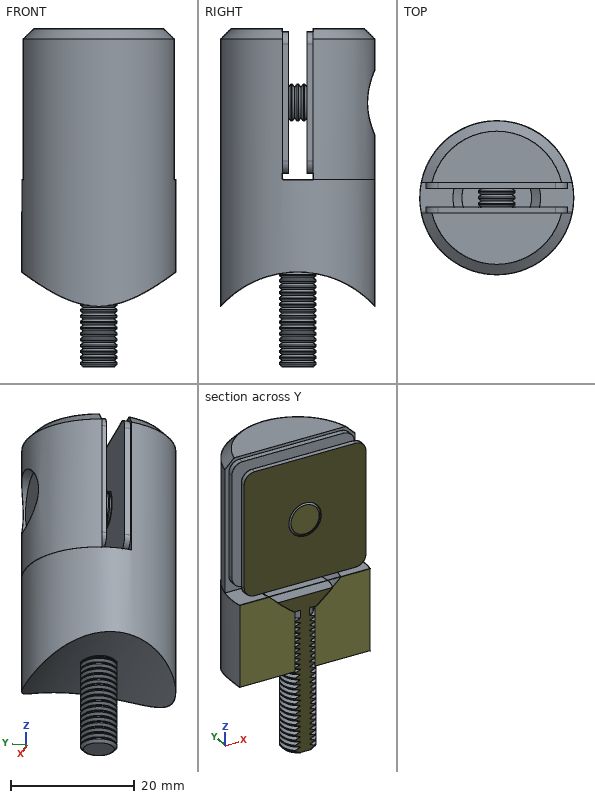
import cadquery as cq
import math

POST_RADIUS = 12.5
POST_HEIGHT = 39.5
TOP_CHAMFER = 1.7
SADDLE_RADIUS = 16.85
SADDLE_DROP = SADDLE_RADIUS - math.sqrt(SADDLE_RADIUS**2 - POST_RADIUS**2)

SLOT_HALF_WIDTH = 2.5
SLOT_FLOOR_Z = 15.0
SLOT_CORNER_RADIUS = 0.3

PAD_SIZE = 23.0
PAD_THICKNESS = 1.0
PAD_CORNER_RADIUS = 2.0
CLAMP_DEPTH = 12.0
CLAMP_Z = POST_HEIGHT - CLAMP_DEPTH

THREAD_RADIUS = 3.0
ROOT_RADIUS = 2.52
CREST_WIDTH = 0.2

CLAMP_PITCH = 1.0
CLAMP_FIRST_RIDGE = 0.5
CLAMP_TIP_Y = -8.5
CLAMP_HEAD_RADIUS = 5.0
CLAMP_HEAD_HEIGHT = 6.0
CLAMP_SEAT_Y = 5.0
CLAMP_ROD_LENGTH = CLAMP_SEAT_Y - CLAMP_TIP_Y
CLAMP_RIDGES = math.floor((CLAMP_ROD_LENGTH - CLAMP_FIRST_RIDGE) / CLAMP_PITCH)
COUNTERBORE_RADIUS = 5.25

BASE_SCREW_REACH = 15.38
BASE_PITCH = 0.956
BASE_FIRST_RIDGE = 0.59
COUNTERSINK_RADIUS = 7.1
BASE_HEAD_RADIUS = 5.65
BASE_HEAD_TOP_Z = SLOT_FLOOR_Z - (COUNTERSINK_RADIUS - BASE_HEAD_RADIUS)
BASE_ROD_LENGTH = BASE_SCREW_REACH + BASE_HEAD_TOP_Z - (BASE_HEAD_RADIUS - THREAD_RADIUS)
BASE_RIDGES = math.floor((BASE_ROD_LENGTH - BASE_FIRST_RIDGE) / BASE_PITCH)


def ridged_rod(length, pitch, first_ridge, ridge_count):
    """Rod rising from Z = 0, tapered at that tip, with V grooves between flat-crested ridges."""
    profile = [(0, 0), (ROOT_RADIUS, 0)]
    for index in range(ridge_count):
        ridge_z = first_ridge + index * pitch
        profile.append((THREAD_RADIUS, ridge_z - CREST_WIDTH / 2))
        profile.append((THREAD_RADIUS, ridge_z + CREST_WIDTH / 2))
        profile.append((ROOT_RADIUS, ridge_z + pitch / 2))
    profile.append((ROOT_RADIUS, length))
    profile.append((0, length))
    return cq.Workplane("XZ").polyline(profile).close().revolve(360, (0, 0), (0, 1))


def rod_along_y(radius, start_y, end_y):
    """Cylinder on the clamp axis between two Y positions."""
    rod = cq.Workplane("XZ", origin=(0, start_y, CLAMP_Z)).circle(radius)
    return rod.extrude(start_y - end_y)


def slab(min_y, max_y, min_z, max_z):
    """Block wider than the post between the given Y and Z limits."""
    block = cq.Workplane("XY").box(4 * POST_RADIUS, max_y - min_y, max_z - min_z)
    return block.translate((0, (min_y + max_y) / 2, (min_z + max_z) / 2))


def make_post():
    """Round post, chamfered on top and hollowed below by the tube it sits on."""
    post = cq.Workplane("XY", origin=(0, 0, -SADDLE_DROP)).circle(POST_RADIUS)
    post = post.extrude(SADDLE_DROP + POST_HEIGHT).faces(">Z").chamfer(TOP_CHAMFER)
    tube = cq.Workplane("YZ", origin=(0, 0, -SADDLE_RADIUS)).circle(SADDLE_RADIUS)
    return post.cut(tube.extrude(2 * POST_RADIUS, both=True))


def screw_cone(top_radius, top_z):
    """90 degree cone narrowing downward from top_z to the thread radius."""
    depth = top_radius - THREAD_RADIUS
    cone = cq.Solid.makeCone(THREAD_RADIUS, top_radius, depth)
    return cq.Workplane(cone.translate(cq.Vector(0, 0, top_z - depth)))


def make_housing():
    """Post with the slot and jaw space cut away, leaving a ledge at the slot floor."""
    opening = slab(-SLOT_HALF_WIDTH, 2 * POST_RADIUS, SLOT_FLOOR_Z, 2 * POST_HEIGHT)
    opening = opening.edges("|X and <Y and <Z").fillet(SLOT_CORNER_RADIUS)
    base_hole = cq.Workplane("XY", origin=(0, 0, -SADDLE_DROP)).circle(THREAD_RADIUS)
    base_hole = base_hole.extrude(SADDLE_DROP + SLOT_FLOOR_Z)
    countersink = screw_cone(COUNTERSINK_RADIUS, SLOT_FLOOR_Z)
    clamp_hole = rod_along_y(THREAD_RADIUS, CLAMP_TIP_Y, 0)
    return make_post().cut(opening).cut(base_hole).cut(countersink).cut(clamp_hole)


def make_jaw():
    """Loose half of the post, standing on the ledge, counterbored for the clamp screw."""
    space = slab(SLOT_HALF_WIDTH, 2 * POST_RADIUS, SLOT_FLOOR_Z, 2 * POST_HEIGHT)
    clamp_hole = rod_along_y(THREAD_RADIUS, 0, CLAMP_SEAT_Y)
    counterbore = rod_along_y(COUNTERBORE_RADIUS, CLAMP_SEAT_Y, POST_RADIUS)
    return make_post().intersect(space).cut(clamp_hole).cut(counterbore)


def make_pad(side):
    """Pad on the slot wall at +Y (side = 1) or -Y (side = -1)."""
    pad = cq.Workplane("XY").box(PAD_SIZE, PAD_THICKNESS, PAD_SIZE)
    pad = pad.edges("|Y").fillet(PAD_CORNER_RADIUS)
    pad = pad.translate((0, side * (SLOT_HALF_WIDTH - PAD_THICKNESS / 2), CLAMP_Z))
    return pad.cut(rod_along_y(THREAD_RADIUS, -SLOT_HALF_WIDTH, SLOT_HALF_WIDTH))


def make_clamp_screw():
    """Screw through the jaw and both pads into the housing, its round head in the counterbore."""
    rod = ridged_rod(CLAMP_ROD_LENGTH, CLAMP_PITCH, CLAMP_FIRST_RIDGE, CLAMP_RIDGES)
    rod = rod.rotate((0, 0, 0), (1, 0, 0), -90).translate((0, CLAMP_TIP_Y, CLAMP_Z))
    head = rod_along_y(CLAMP_HEAD_RADIUS, CLAMP_SEAT_Y, CLAMP_SEAT_Y + CLAMP_HEAD_HEIGHT)
    return rod.union(head)


def make_base_screw():
    """Screw hanging through the housing, its conical head seated in the countersink."""
    head = screw_cone(BASE_HEAD_RADIUS, BASE_HEAD_TOP_Z)
    rod = ridged_rod(BASE_ROD_LENGTH, BASE_PITCH, BASE_FIRST_RIDGE, BASE_RIDGES)
    return rod.translate((0, 0, -BASE_SCREW_REACH)).union(head)


housing = make_housing()
jaw = make_jaw()
pads = [make_pad(side) for side in (-1, 1)]
clamp_screw = make_clamp_screw()
base_screw = make_base_screw()

result = cq.Compound.makeCompound(
    [housing.val(), jaw.val(), *[pad.val() for pad in pads], clamp_screw.val(), base_screw.val()]
)